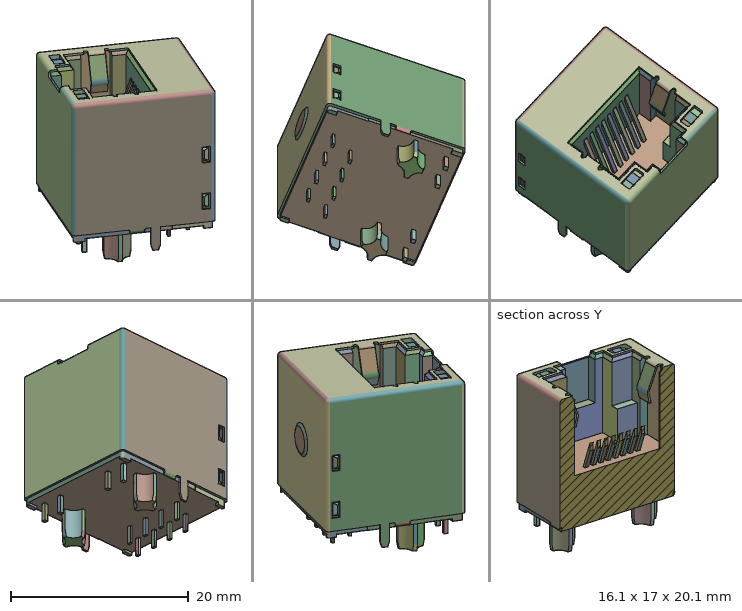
import cadquery as cq
CASE_WIDTH = 16.05
CASE_DEPTH = 16.72
TOP_Z = 20.07
CASE_BOTTOM_Z = 4.11
CASE_RADIUS = 0.45
SHELL = 0.25
HALF_WIDTH = CASE_WIDTH / 2
HALF_DEPTH = CASE_DEPTH / 2

EMBOSS_DROP = 7.73
EMBOSS_RADIUS = 1.95
EMBOSS_HEIGHT = 0.25
EMBOSS_FACE_RADIUS = 1.59

MOUTH_HALF_WIDTH = 6.28
NECK_HALF_WIDTH = 3.5
MOUTH_REAR_Y = 1.97
MOUTH_FRONT_Y = -5.55
NECK_FRONT_Y = -7.3
MOUTH_CHAMFER = 0.36
POCKET_DEPTH = 10.04
LEDGE_DROP = 6.02
LEDGE_REAR_Y = -4.17
NOTCH_HALF_WIDTH = 2.4
NOTCH_DEPTH = 0.75
LATCH_CHANNEL_DEPTH = 6.02
NOTCH_CORNER_RADIUS = 0.15

SPRING_Y = -1.73
SPRING_WIDTH = 1.97
RECESS_LENGTH = 3.61
RECESS_Y = -1.8
RECESS_X = 6.9
SPRING_TIP_X = 4.8
SPRING_BEND_X = 4.92
SPRING_BEND_DROP = 2.8
SPRING_BEND_HEIGHT = 0.88
SPRING_END_X = 5.1
SPRING_END_DROP = 4.52
SPRING_CURL = 0.32
RELIEF_WIDTH = 0.48
RELIEF_END_X = 6.72

CONTACT_COUNT = 8
CONTACT_PITCH = 1.02
CONTACT_WIDTH = 0.48
CONTACT_TOP_DROP = 2.6
CONTACT_END_Y = -1.16
CONTACT_HEIGHT = 1.0

LIGHT_INNER_X = 3.9
LIGHT_OUTER_X = 6.46
LIGHT_FLAT_INNER_X = 4.48
LIGHT_FLAT_OUTER_X = 5.64
LIGHT_FRONT_Y = -7.23
LIGHT_REAR_Y = -5.98
LIGHT_FLAT_DROP = 0.25
LIGHT_EDGE_DROP = 0.55
LIGHT_CORNER_RADIUS = 0.2
LIGHT_OUTER_CORNER_RADIUS = 0.12

LATCH_Y = 7.23
LATCH_WIDTH = 0.92
LATCH_HEIGHT = 1.95
LATCH_DROPS = (7.73, 13.4)
LATCH_CORNER_RADIUS = 0.15
WEDGE_END_GAP = 0.18
WEDGE_REAR_GAP = 0.16
WEDGE_FRONT_GAP = 0.06
WEDGE_SLOPE_WIDTH = 0.48
WEDGE_HEIGHT = 0.2
WEDGE_END_TAPER = 0.26

BASE_BOTTOM_Z = 3.53
FOOT_BOTTOM_Z = 3.21
BASE_RADIUS = 0.28
BASE_STEP_Y = 3.33
BASE_STEP_INSET = 0.08
FOOT_WIDTH = 0.52
REAR_FOOT_LENGTH = 1.08
FRONT_FOOT_LENGTH = 1.3
BASE_HALF_WIDTH = HALF_WIDTH - SHELL
BASE_HALF_DEPTH = HALF_DEPTH - SHELL

PIN_TIP_Z = 1.32
GROUND_TAB_Y = 1.35
GROUND_TAB_WIDTH = 1.12
GROUND_TAB_TIP_WIDTH = 0.66
GROUND_TAB_TAPER_Z = 2.0
CLINCH_Y = -0.8
CLINCH_WIDTH = 1.77
CLINCH_REACH = 0.6
CLINCH_RADIUS = 0.42
CLINCH_FLARE = 0.15
CLINCH_FLARE_Z = 3.97

SIGNAL_COUNT = 8
SIGNAL_PITCH = 1.26
SIGNAL_OFFSET_X = -0.08
SIGNAL_ROWS_Y = (6.36, 3.81)
SIGNAL_WIDTH = 0.48
SIGNAL_THICKNESS = 0.3
LIGHT_PIN_XS = (3.81, 6.32)
LIGHT_PIN_Y = -6.55
LIGHT_PIN_SIZE = 0.48

PEG_X = 5.72
PEG_Y = -2.57
PEG_RADIUS = 1.6
PEG_ARM = 0.48
PEG_TAPER_Z = 0.82
PEG_TAPER = 0.16


def block(x0, x1, y0, y1, z0, z1):
    """Axis-aligned box between two opposite corners."""
    return cq.Workplane("XY").box(x1 - x0, y1 - y0, z1 - z0, centered=False).translate((x0, y0, z0))


def with_mirror(right):
    """The right-hand feature together with its mirror image across X = 0."""
    return right.union(right.mirror("YZ"))


def prism_along_y(points, y0, y1):
    """Closed X-Z outline extruded from y0 to y1."""
    return cq.Workplane("XZ", origin=(0, y0, 0)).polyline(points).close().extrude(y0 - y1)


def make_case():
    case = block(-HALF_WIDTH, HALF_WIDTH, -HALF_DEPTH, HALF_DEPTH, CASE_BOTTOM_Z, TOP_Z)
    case = case.edges("|Z or >Z").fillet(CASE_RADIUS)
    emboss = (
        cq.Workplane("XZ", origin=(0, HALF_DEPTH, TOP_Z - EMBOSS_DROP))
        .circle(EMBOSS_RADIUS)
        .workplane(offset=-EMBOSS_HEIGHT)
        .circle(EMBOSS_FACE_RADIUS)
        .loft()
    )
    return case.union(emboss)


def mouth_cut(half_width, front_y):
    """Straight cut through the shell, a chamfered lead-in, then a straight pocket."""
    width = 2 * half_width
    length = MOUTH_REAR_Y - front_y
    lead_in_top = TOP_Z - SHELL
    shell_cut = block(-half_width, half_width, front_y, MOUTH_REAR_Y, lead_in_top, TOP_Z)
    lead_in = (
        cq.Workplane("XY", origin=(0, front_y + length / 2, lead_in_top))
        .rect(width, length)
        .extrude(-MOUTH_CHAMFER, taper=45)
    )
    pocket = block(
        MOUTH_CHAMFER - half_width, half_width - MOUTH_CHAMFER,
        front_y + MOUTH_CHAMFER, MOUTH_REAR_Y - MOUTH_CHAMFER,
        TOP_Z - POCKET_DEPTH, lead_in_top - MOUTH_CHAMFER,
    )
    return shell_cut.union(lead_in).union(pocket)


def pocket_ledges():
    """Steps left standing in the front corners of the wide part of the pocket."""
    ledge = block(
        NECK_HALF_WIDTH - MOUTH_CHAMFER, MOUTH_HALF_WIDTH,
        MOUTH_FRONT_Y, LEDGE_REAR_Y,
        TOP_Z - POCKET_DEPTH, TOP_Z - LEDGE_DROP,
    )
    return with_mirror(ledge)


def notch_cut():
    """Deep chamfered latch channel in the plastic, and a shallow notch in the shell in front of it."""
    notch_floor_z = TOP_Z - NOTCH_DEPTH
    channel_floor_z = TOP_Z - LATCH_CHANNEL_DEPTH
    inner_x = NOTCH_HALF_WIDTH - MOUTH_CHAMFER
    chamfer_top = TOP_Z - SHELL
    chamfer_bottom = chamfer_top - MOUTH_CHAMFER
    right_side = [
        (inner_x, channel_floor_z),
        (inner_x, chamfer_bottom),
        (NOTCH_HALF_WIDTH, chamfer_top),
        (NOTCH_HALF_WIDTH, TOP_Z),
    ]
    left_side = [(-x, z) for x, z in reversed(right_side)]
    wall_y = SHELL - HALF_DEPTH
    plastic_cut = prism_along_y(right_side + left_side, wall_y, NECK_FRONT_Y + MOUTH_CHAMFER)
    shell_cut = block(-NOTCH_HALF_WIDTH, NOTCH_HALF_WIDTH, -HALF_DEPTH, wall_y, notch_floor_z, TOP_Z)
    shell_cut = shell_cut.edges("|Y and <Z").fillet(NOTCH_CORNER_RADIUS)
    return plastic_cut.union(shell_cut)


def spring_cut():
    """Recess in the pocket wall, and two round-ended slots that free the spring from the shell."""
    recess_half = RECESS_LENGTH / 2
    pocket_floor = TOP_Z - POCKET_DEPTH
    lead_in_bottom = TOP_Z - SHELL
    recess = block(
        MOUTH_HALF_WIDTH - 2 * MOUTH_CHAMFER, RECESS_X,
        RECESS_Y - recess_half, RECESS_Y + recess_half,
        pocket_floor, lead_in_bottom,
    )
    slot_length = 2 * (RELIEF_END_X - MOUTH_HALF_WIDTH) + RELIEF_WIDTH
    slot_step = SPRING_WIDTH + RELIEF_WIDTH
    slots = (
        cq.Workplane("XY", origin=(RELIEF_END_X - slot_length / 2, SPRING_Y, lead_in_bottom))
        .rarray(0.2, slot_step, 1, 2)
        .slot2D(slot_length, RELIEF_WIDTH)
        .extrude(SHELL)
    )
    return with_mirror(recess.union(slots))


def springs():
    """Sheet tongues curling down from the shell, leaning inward and kicking back at the tip."""
    root_x = MOUTH_HALF_WIDTH
    curl_x = root_x - SPRING_CURL
    curl_z = TOP_Z - SPRING_CURL
    bend_z = TOP_Z - SPRING_BEND_DROP
    end_z = TOP_Z - SPRING_END_DROP
    bend_end_z = bend_z - SPRING_BEND_HEIGHT
    nose_z = (bend_z + bend_end_z) / 2
    tongue = (
        cq.Workplane("XZ", origin=(0, SPRING_Y, 0))
        .moveTo(root_x, TOP_Z)
        .radiusArc((curl_x, curl_z), -SPRING_CURL)
        .lineTo(SPRING_BEND_X, bend_z)
        .threePointArc((SPRING_TIP_X, nose_z), (SPRING_BEND_X, bend_end_z))
        .lineTo(SPRING_END_X, end_z)
        .lineTo(SPRING_END_X + SHELL, end_z)
        .lineTo(SPRING_BEND_X + SHELL, bend_end_z)
        .threePointArc((SPRING_TIP_X + SHELL, nose_z), (SPRING_BEND_X + SHELL, bend_z))
        .lineTo(curl_x + SHELL, curl_z)
        .lineTo(root_x, TOP_Z - SHELL)
        .close()
        .extrude(SPRING_WIDTH / 2, both=True)
    )
    return with_mirror(tongue)


def contacts():
    """Slanted wires from the rear pocket wall down to the pocket floor."""
    wall_y = MOUTH_REAR_Y - MOUTH_CHAMFER
    top_z = TOP_Z - CONTACT_TOP_DROP
    floor_z = TOP_Z - POCKET_DEPTH
    wires = cq.Workplane("XY")
    for index in range(CONTACT_COUNT):
        x = (index - (CONTACT_COUNT - 1) / 2) * CONTACT_PITCH
        wire = (
            cq.Workplane("YZ", origin=(x, 0, 0))
            .moveTo(wall_y, top_z)
            .lineTo(CONTACT_END_Y, floor_z)
            .lineTo(CONTACT_END_Y, floor_z - CONTACT_HEIGHT)
            .lineTo(wall_y, top_z - CONTACT_HEIGHT)
            .close()
            .extrude(CONTACT_WIDTH / 2, both=True)
        )
        wires = wires.union(wire)
    return wires


def light_window_cut():
    """Shallow windows whose floor is flat in the middle and falls away to both ends."""
    flat_z = TOP_Z - LIGHT_FLAT_DROP
    edge_z = TOP_Z - LIGHT_EDGE_DROP
    section = [
        (LIGHT_INNER_X, TOP_Z),
        (LIGHT_INNER_X, edge_z),
        (LIGHT_FLAT_INNER_X, flat_z),
        (LIGHT_FLAT_OUTER_X, flat_z),
        (LIGHT_OUTER_X, edge_z),
        (LIGHT_OUTER_X, TOP_Z),
    ]
    window = prism_along_y(section, LIGHT_FRONT_Y, LIGHT_REAR_Y)
    window = window.edges("|Z and <X").fillet(LIGHT_CORNER_RADIUS)
    window = window.edges("|Z and >X and <Y").fillet(LIGHT_OUTER_CORNER_RADIUS)
    return with_mirror(window)


def latch_window_cut(drop):
    """Window through the side shell, leaving a tapered latch wedge standing inside it."""
    inner_x = HALF_WIDTH - SHELL
    y0 = LATCH_Y - LATCH_WIDTH / 2
    y1 = LATCH_Y + LATCH_WIDTH / 2
    z = TOP_Z - drop
    window = block(inner_x, HALF_WIDTH, y0, y1, z - LATCH_HEIGHT / 2, z + LATCH_HEIGHT / 2)
    if drop == LATCH_DROPS[0]:
        window = window.edges("|X").fillet(LATCH_CORNER_RADIUS)
    wedge_rear_y = y1 - WEDGE_REAR_GAP
    wedge_front_y = y0 + WEDGE_FRONT_GAP
    crest_x = inner_x + WEDGE_HEIGHT
    wedge = (
        cq.Workplane("XY", origin=(0, 0, z))
        .moveTo(inner_x, wedge_rear_y)
        .lineTo(crest_x, wedge_rear_y - WEDGE_SLOPE_WIDTH)
        .lineTo(crest_x, wedge_front_y)
        .lineTo(inner_x, wedge_front_y)
        .close()
        .extrude(LATCH_HEIGHT / 2, both=True)
    )
    root_half = LATCH_HEIGHT / 2 - WEDGE_END_GAP
    crest_half = root_half - WEDGE_END_TAPER
    tapered_ends = prism_along_y(
        [
            (inner_x, z - root_half),
            (crest_x, z - crest_half),
            (crest_x, z + crest_half),
            (inner_x, z + root_half),
        ],
        y0, y1,
    )
    wedge = wedge.intersect(tapered_ends)
    return with_mirror(window.cut(wedge))


def make_base():
    """Plastic base plate with a foot in each corner."""
    base = block(
        -BASE_HALF_WIDTH, BASE_HALF_WIDTH, -BASE_HALF_DEPTH, BASE_HALF_DEPTH, FOOT_BOTTOM_Z, CASE_BOTTOM_Z
    )
    rear_side_step = block(
        BASE_HALF_WIDTH - BASE_STEP_INSET, BASE_HALF_WIDTH,
        BASE_STEP_Y, BASE_HALF_DEPTH,
        FOOT_BOTTOM_Z, CASE_BOTTOM_Z,
    )
    base = base.cut(with_mirror(rear_side_step))
    base = base.edges("|Z and (<Y or >Y)").fillet(BASE_RADIUS)
    inner_x = BASE_HALF_WIDTH - FOOT_WIDTH
    between_sides = block(
        -inner_x, inner_x, -BASE_HALF_DEPTH, BASE_HALF_DEPTH, FOOT_BOTTOM_Z, BASE_BOTTOM_Z
    )
    between_feet = block(
        -BASE_HALF_WIDTH, BASE_HALF_WIDTH,
        FRONT_FOOT_LENGTH - BASE_HALF_DEPTH, BASE_HALF_DEPTH - REAR_FOOT_LENGTH,
        FOOT_BOTTOM_Z, BASE_BOTTOM_Z,
    )
    return base.cut(between_sides).cut(between_feet)


def ground_tabs():
    """Pointed solder tabs running down from the side walls of the shell."""
    half = GROUND_TAB_WIDTH / 2
    tip_half = GROUND_TAB_TIP_WIDTH / 2
    tab = (
        cq.Workplane("YZ", origin=(HALF_WIDTH - SHELL, GROUND_TAB_Y, 0))
        .moveTo(-half, CASE_BOTTOM_Z)
        .lineTo(-half, GROUND_TAB_TAPER_Z)
        .lineTo(-tip_half, PIN_TIP_Z)
        .lineTo(tip_half, PIN_TIP_Z)
        .lineTo(half, GROUND_TAB_TAPER_Z)
        .lineTo(half, CASE_BOTTOM_Z)
        .close()
        .extrude(SHELL)
    )
    return with_mirror(tab)


def clinch_tabs():
    """Short shell tabs flared at the root and bent under the base."""
    half = CLINCH_WIDTH / 2
    root_half = half + CLINCH_FLARE
    tab = (
        cq.Workplane("YZ", origin=(HALF_WIDTH - CLINCH_REACH, CLINCH_Y, 0))
        .moveTo(-root_half, CASE_BOTTOM_Z)
        .lineTo(-half, CLINCH_FLARE_Z)
        .lineTo(-half, BASE_BOTTOM_Z)
        .lineTo(half, BASE_BOTTOM_Z)
        .lineTo(half, CLINCH_FLARE_Z)
        .lineTo(root_half, CASE_BOTTOM_Z)
        .close()
        .extrude(CLINCH_REACH)
    )
    return with_mirror(tab.edges("|Y and >X and <Z").fillet(CLINCH_RADIUS))


def pin(x, y, width, thickness):
    """Rectangular solder pin below the base."""
    height = BASE_BOTTOM_Z - PIN_TIP_Z
    return cq.Workplane("XY", origin=(x, y, PIN_TIP_Z)).rect(width, thickness).extrude(height)


def all_pins():
    """Two staggered rows of signal pins at the rear and a pair of light pins at each front corner."""
    pins = cq.Workplane("XY")
    for index in range(SIGNAL_COUNT):
        x = SIGNAL_OFFSET_X + (index - (SIGNAL_COUNT - 1) / 2) * SIGNAL_PITCH
        y = SIGNAL_ROWS_Y[index % 2]
        pins = pins.union(pin(x, y, SIGNAL_WIDTH, SIGNAL_THICKNESS))
    for x in LIGHT_PIN_XS:
        pins = pins.union(with_mirror(pin(x, LIGHT_PIN_Y, LIGHT_PIN_SIZE, LIGHT_PIN_SIZE)))
    return pins


def pegs():
    """Cross-shaped board pegs: round posts with a concave scoop in each quadrant."""
    post = (
        cq.Workplane("XY", origin=(0, 0, PEG_TAPER_Z))
        .circle(PEG_RADIUS)
        .extrude(BASE_BOTTOM_Z - PEG_TAPER_Z)
    )
    tip = (
        cq.Workplane("XY")
        .circle(PEG_RADIUS - PEG_TAPER)
        .workplane(offset=PEG_TAPER_Z)
        .circle(PEG_RADIUS)
        .loft()
    )
    peg = post.union(tip)
    for scoop_x in (-PEG_RADIUS, PEG_RADIUS):
        for scoop_y in (-PEG_RADIUS, PEG_RADIUS):
            scoop = (
                cq.Workplane("XY", origin=(scoop_x, scoop_y, 0))
                .circle(PEG_RADIUS - PEG_ARM / 2)
                .extrude(BASE_BOTTOM_Z)
            )
            peg = peg.cut(scoop)
    return with_mirror(peg.translate((PEG_X, PEG_Y, 0)))


result = make_case().cut(mouth_cut(MOUTH_HALF_WIDTH, MOUTH_FRONT_Y))
result = result.cut(mouth_cut(NECK_HALF_WIDTH, NECK_FRONT_Y))
result = result.cut(notch_cut())
result = result.cut(spring_cut())
result = result.cut(light_window_cut())
for latch_drop in LATCH_DROPS:
    result = result.cut(latch_window_cut(latch_drop))
for addition in (
    pocket_ledges(), springs(), contacts(), make_base(), ground_tabs(), clinch_tabs(), all_pins(), pegs()
):
    result = result.union(addition)